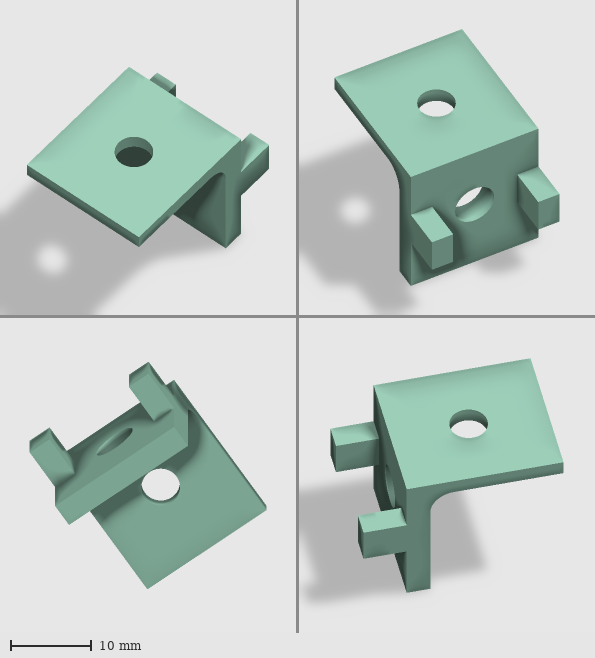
import cadquery as cq

width = 18.0
depth = 25.5
height = 19.0

tab_length = 5.5
flange_depth = depth - tab_length
flange_thickness = 2.0
wall_thickness = 3.0
inner_radius = 3.0

tab_width = 3.0
tab_height = 4.8

wall_hole_diameter = 5.5
flange_hole_diameter = 4.8
wall_axis_drop = 9.0

wall_axis_z = height - wall_axis_drop
wall_front_y = flange_depth - wall_thickness
flange_bottom_z = height - flange_thickness


def make_bracket():
    """Horizontal flange and vertical wall joined by a rounded inner corner."""
    flange = cq.Workplane("XY").box(
        width, flange_depth, flange_thickness, centered=(True, False, False)
    ).translate((0, 0, flange_bottom_z))
    wall = cq.Workplane("XY").box(
        width, wall_thickness, height, centered=(True, False, False)
    ).translate((0, wall_front_y, 0))
    inner_corner = cq.selectors.NearestToPointSelector((0, wall_front_y, flange_bottom_z))
    return flange.union(wall).edges(inner_corner).fillet(inner_radius)


def make_tab(side):
    """Rear tab flush with one side of the wall; side is -1 or 1."""
    center_x = side * (width - tab_width) / 2
    return cq.Workplane("XY").box(
        tab_width, tab_length, tab_height, centered=(True, False, True)
    ).translate((center_x, flange_depth, wall_axis_z))


def make_wall_hole():
    """Cutter along Y, centred on the wall axis."""
    return (
        cq.Workplane("XZ", origin=(0, 0, wall_axis_z))
        .circle(wall_hole_diameter / 2)
        .extrude(-depth)
    )


def make_flange_hole():
    """Cutter along Z, through the middle of the flange."""
    return (
        cq.Workplane("XY", origin=(0, flange_depth / 2, 0))
        .circle(flange_hole_diameter / 2)
        .extrude(height)
    )


result = make_bracket()
for side in (-1, 1):
    result = result.union(make_tab(side))
result = result.cut(make_wall_hole()).cut(make_flange_hole())